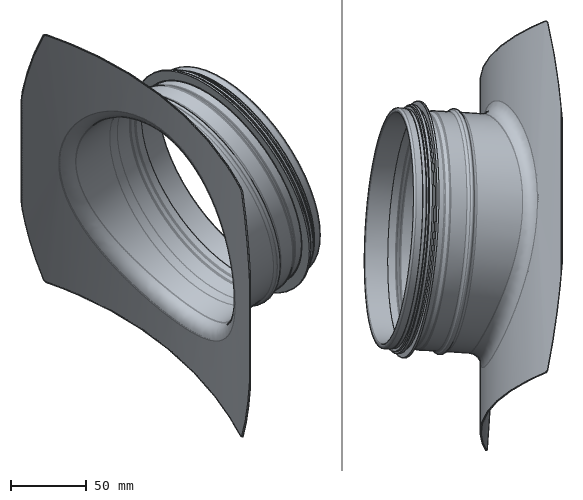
import cadquery as cq
import math

WALL = 0.5
SADDLE_WALL = 0.8
DUCT_RADIUS = 250.0
SADDLE_WIDTH = 220.0
SADDLE_HEIGHT = 241.0
SIDE_CORNER_X = 94.8
SIDE_CROWN_X = 112.7
SIDE_SLANT = 2.2
CORNER_RADIUS = 2.5
TOTAL_DEPTH = 93.2

TUBE_RADIUS = 158.0 / 2
BORE_RADIUS = 153.2 / 2
NECK_RADIUS = BORE_RADIUS + WALL
SEAT_RADIUS = 155.4 / 2
FLARE_RADIUS = 10.0

RIM_RADIUS = 159.0 / 2
RIM_LENGTH = 5.9
RIM_ROUND = 1.4
RIM_INNER_ROUND = 0.5

SEAL_BODY_RADIUS = 158.0 / 2
LIP_ROOT_RADIUS = 162.0 / 2
SMALL_LIP_RADIUS = 164.4 / 2
LARGE_LIP_RADIUS = 169.4 / 2

SMALL_LIP_START = 8.2
SMALL_LIP_STEP = 9.4
SMALL_LIP_END = 11.0
SMALL_LIP_TIP_START = 9.8
SMALL_LIP_TIP_END = 11.7
LARGE_LIP_FOOT = 13.4
LARGE_LIP_FOOT_HEIGHT = 0.8
LARGE_LIP_START = 14.2
SEAL_END = 15.6
NECK_END = 21.2
SHOULDER_END = 24.4
SHOULDER_ROUND = 1.5
BEAD_MIDDLE = 39.0
BEAD_HALF_LENGTH = 3.4
BEAD_CREST_HALF_LENGTH = 1.3
BEAD_HEIGHT = 2.2

DUCT_AXIS_Y = -DUCT_RADIUS
SADDLE_SAG = DUCT_RADIUS - math.sqrt(DUCT_RADIUS**2 - (SADDLE_WIDTH / 2) ** 2)
TUBE_END_Y = TOTAL_DEPTH - SADDLE_SAG
COLLAR_START = 50.0


def y_at(distance):
    """Y of a place given by its distance from the free end of the tube."""
    return TUBE_END_Y - distance


def saddle_branch(duct_radius, tube_radius, blend_radius):
    """Solid duct with a solid branch tube standing on it, blended where they meet."""
    duct = (
        cq.Workplane("XY")
        .center(0, DUCT_AXIS_Y)
        .circle(duct_radius)
        .extrude(SADDLE_HEIGHT, both=True)
    )
    branch = (
        cq.Workplane("XZ", origin=(0, DUCT_AXIS_Y, 0))
        .circle(tube_radius)
        .extrude(-(y_at(COLLAR_START) - DUCT_AXIS_Y))
    )
    joined = duct.union(branch)
    reach = tube_radius + 1
    around_joint = cq.selectors.BoxSelector(
        (-reach, -SADDLE_SAG, -reach),
        (reach, y_at(COLLAR_START) / 2, reach),
        boundingbox=True,
    )
    return joined.edges(around_joint).fillet(blend_radius)


def outline_section(y):
    """Saddle outline at a given Y, without the side flats."""

    def slanted(x):
        face_y = DUCT_AXIS_Y + math.sqrt(DUCT_RADIUS**2 - x**2)
        return x + SIDE_SLANT * (y - face_y)

    corner_x = slanted(SIDE_CORNER_X)
    crown_x = slanted(SIDE_CROWN_X)
    corner_z = SADDLE_HEIGHT / 2
    return (
        cq.Workplane("XZ", origin=(0, y, 0))
        .moveTo(-corner_x, corner_z)
        .lineTo(corner_x, corner_z)
        .threePointArc((crown_x, 0), (corner_x, -corner_z))
        .lineTo(-corner_x, -corner_z)
        .threePointArc((-crown_x, 0), (-corner_x, corner_z))
        .close()
        .wire()
        .val()
    )


def saddle_outline():
    """Block with the saddle's outline: slanted bowed sides, trimmed to straight flats at full width."""
    low_y = -SADDLE_SAG - 2 * SADDLE_WALL
    high_y = y_at(COLLAR_START)
    bowed = cq.Workplane(cq.Solid.makeLoft([outline_section(low_y), outline_section(high_y)], True))
    corners = bowed.faces("<Z or >Z").edges("not |X")
    bowed = corners.fillet(CORNER_RADIUS)
    trim = cq.Workplane("XY").box(SADDLE_WIDTH, 2 * SADDLE_WIDTH, SADDLE_HEIGHT)
    return bowed.intersect(trim)


def revolve_about_y(profile):
    return profile.close().revolve(360, (0, 0, 0), (0, 1, 0))


def collar():
    """Free end of the tube: rim, necked seal seat, shoulder and stop bead."""
    bead_start = y_at(BEAD_MIDDLE - BEAD_HALF_LENGTH)
    bead_end = y_at(BEAD_MIDDLE + BEAD_HALF_LENGTH)
    flank_start = y_at(BEAD_MIDDLE - BEAD_CREST_HALF_LENGTH)
    flank_end = y_at(BEAD_MIDDLE + BEAD_CREST_HALF_LENGTH)
    flank_height = BEAD_HEIGHT * (1 - BEAD_CREST_HALF_LENGTH / BEAD_HALF_LENGTH)
    flank_radius = TUBE_RADIUS + flank_height
    crest = (TUBE_RADIUS + BEAD_HEIGHT, y_at(BEAD_MIDDLE))
    profile = (
        cq.Workplane("XY")
        .moveTo(BORE_RADIUS, y_at(RIM_INNER_ROUND))
        .radiusArc((BORE_RADIUS + RIM_INNER_ROUND, TUBE_END_Y), RIM_INNER_ROUND)
        .lineTo(RIM_RADIUS - RIM_ROUND, TUBE_END_Y)
        .tangentArcPoint((RIM_RADIUS, y_at(RIM_ROUND)), relative=False)
        .lineTo(RIM_RADIUS, y_at(RIM_LENGTH))
        .lineTo(SEAT_RADIUS, y_at(RIM_LENGTH))
        .lineTo(SEAT_RADIUS, y_at(SEAL_END))
        .lineTo(NECK_RADIUS, y_at(SEAL_END))
        .lineTo(NECK_RADIUS, y_at(NECK_END))
        .lineTo(TUBE_RADIUS, y_at(SHOULDER_END))
        .lineTo(TUBE_RADIUS, bead_start)
        .tangentArcPoint((flank_radius, flank_start), relative=False)
        .threePointArc(crest, (flank_radius, flank_end))
        .tangentArcPoint((TUBE_RADIUS, bead_end), relative=False)
        .lineTo(TUBE_RADIUS, y_at(COLLAR_START))
        .lineTo(TUBE_RADIUS - WALL, y_at(COLLAR_START))
        .lineTo(TUBE_RADIUS - WALL, y_at(SHOULDER_END))
        .lineTo(BORE_RADIUS, y_at(NECK_END))
    )
    ring = revolve_about_y(profile)
    reach = 2 * TUBE_RADIUS
    margin = SHOULDER_ROUND / 4
    shoulder = cq.selectors.BoxSelector(
        (-reach, y_at(SHOULDER_END + margin), -reach),
        (reach, y_at(NECK_END - margin), reach),
        boundingbox=True,
    )
    return ring.edges(shoulder).edges("%CIRCLE").fillet(SHOULDER_ROUND)


def fitting():
    """Sheet saddle flared into the tube, with the collar on the tube's end."""
    outer = saddle_branch(DUCT_RADIUS + SADDLE_WALL, TUBE_RADIUS, FLARE_RADIUS - SADDLE_WALL)
    inner = saddle_branch(DUCT_RADIUS, TUBE_RADIUS - WALL, FLARE_RADIUS)
    sheet = outer.cut(inner).intersect(saddle_outline())
    return sheet.union(collar())


def lip_seal():
    """Rubber ring in the seat, with a short drooping lip and a long flat lip."""
    profile = (
        cq.Workplane("XY")
        .moveTo(SEAT_RADIUS, y_at(RIM_LENGTH))
        .lineTo(SEAL_BODY_RADIUS, y_at(RIM_LENGTH))
        .lineTo(SEAL_BODY_RADIUS, y_at(SMALL_LIP_START))
        .lineTo(LIP_ROOT_RADIUS, y_at(SMALL_LIP_START))
        .lineTo(LIP_ROOT_RADIUS, y_at(SMALL_LIP_STEP))
        .lineTo(SMALL_LIP_RADIUS, y_at(SMALL_LIP_TIP_START))
        .lineTo(SMALL_LIP_RADIUS, y_at(SMALL_LIP_TIP_END))
        .lineTo(LIP_ROOT_RADIUS, y_at(SMALL_LIP_END))
        .lineTo(SEAL_BODY_RADIUS, y_at(SMALL_LIP_END))
        .lineTo(SEAL_BODY_RADIUS, y_at(LARGE_LIP_FOOT))
        .lineTo(SEAL_BODY_RADIUS + LARGE_LIP_FOOT_HEIGHT, y_at(LARGE_LIP_START))
        .lineTo(LARGE_LIP_RADIUS, y_at(LARGE_LIP_START))
        .lineTo(LARGE_LIP_RADIUS, y_at(SEAL_END))
        .lineTo(SEAT_RADIUS, y_at(SEAL_END))
    )
    return revolve_about_y(profile)


body = fitting()
seal = lip_seal()
result = cq.Compound.makeCompound([body.val(), seal.val()])